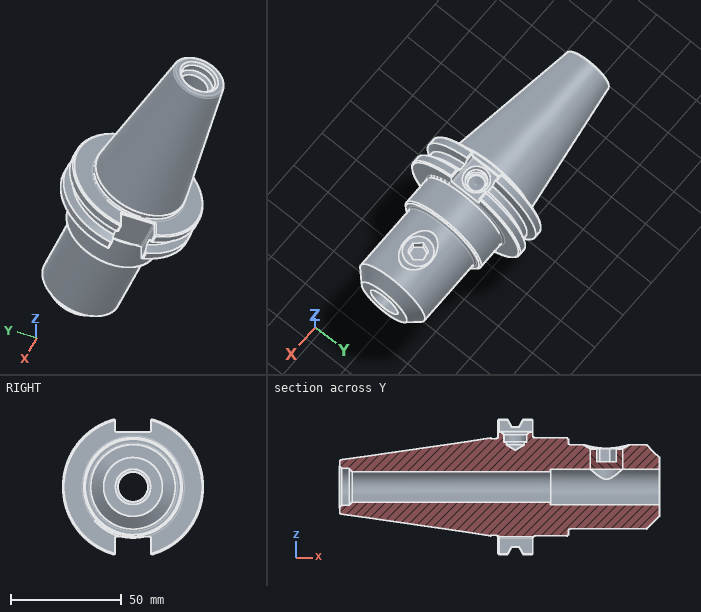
import cadquery as cq
import math

TOTAL_LENGTH = 144.5
GAGE_X = 68.3
FLANGE_START_X = 71.5
FLANGE_END_X = 87.2
SHOULDER_END_X = 103.4

GAGE_RADIUS = 44.5 / 2
TAPER_PER_LENGTH = 7 / 24
TAPER_TIP_RADIUS = GAGE_RADIUS - GAGE_X * TAPER_PER_LENGTH / 2
TIP_ROUND = 1.0
NECK_RADIUS = 43.9 / 2
NECK_STEP = 0.3
NECK_FILLET = 0.7

FLANGE_RADIUS = 63.5 / 2
FLANGE_CHAMFER = 0.6
GROOVE_X = (FLANGE_START_X + FLANGE_END_X) / 2
GROOVE_FLOOR_RADIUS = 28.3
GROOVE_FLOOR_WIDTH = 3.3
GROOVE_FLANK_ANGLE = 30.0

SHOULDER_RADIUS = 44.5 / 2
SHOULDER_CHAMFER = 0.7
SHOULDER_FILLET = 0.9
NOSE_RADIUS = 38.1 / 2
NOSE_FILLET = 0.9
NOSE_CHAMFER = 5.8

SLOT_WIDTH = 16.2
SLOT_TOP_FLOOR = 24.8
SLOT_BOTTOM_FLOOR = 22.5
SLOT_FLOOR_FILLET = 0.6

SLOT_HOLE_RIM_DIAMETER = 12.7
SLOT_HOLE_DIAMETER = 10.1
SLOT_HOLE_DEPTH = 4.5
PILOT_DIAMETER = 8.0
PILOT_DEPTH = 5.8
DRILL_POINT_ANGLE = 118.0

DRAWBAR_MOUTH_RADIUS = 18.6 / 2
DRAWBAR_RADIUS = 16.5 / 2
DRAWBAR_DEPTH = 4.3
THROUGH_RADIUS = 13.5 / 2
TOOL_BORE_RADIUS = 15.9 / 2
TOOL_BORE_DEPTH = 49.1

SCREW_X = 120.5
SCREW_DIAMETER = 14.3
SCREW_TOP_Z = 17.2
COUNTERSINK_ANGLE = 120.0
COUNTERSINK_OVERSHOOT = 0.7
HEX_ACROSS_FLATS = 8.0
HEX_DEPTH = 5.8
HEX_ROTATION = 40.0


def revolve_about_x(profile):
    return profile.close().revolve(360, (0, 0, 0), (1, 0, 0))


def z_cone(bottom_radius, bottom_z, height, half_angle):
    """Cone frustum about a Z line through the origin, widening upward."""
    top_radius = bottom_radius + height * math.tan(math.radians(half_angle))
    return cq.Workplane(
        cq.Solid.makeCone(bottom_radius, top_radius, height, cq.Vector(0, 0, bottom_z))
    )


def z_cylinder(diameter, bottom_z, top_z):
    return cq.Workplane("XY").workplane(offset=bottom_z).circle(diameter / 2).extrude(top_z - bottom_z)


def taper_and_neck():
    taper_angle = math.atan(TAPER_PER_LENGTH / 2)
    tangent = TIP_ROUND * math.tan(math.pi / 4 - taper_angle / 2)
    half_turn = math.pi / 4 + taper_angle / 2
    centre_r = TAPER_TIP_RADIUS - tangent
    return revolve_about_x(
        cq.Workplane("XY")
        .lineTo(0, centre_r)
        .threePointArc(
            (TIP_ROUND * (1 - math.sin(half_turn)), centre_r + TIP_ROUND * math.cos(half_turn)),
            (tangent * math.cos(taper_angle), TAPER_TIP_RADIUS + tangent * math.sin(taper_angle)),
        )
        .lineTo(GAGE_X, GAGE_RADIUS)
        .lineTo(GAGE_X + NECK_STEP, NECK_RADIUS)
        .lineTo(FLANGE_START_X - NECK_FILLET, NECK_RADIUS)
        .radiusArc((FLANGE_START_X, NECK_RADIUS + NECK_FILLET), -NECK_FILLET)
        .lineTo(FLANGE_START_X, 0)
    )


def slot_cutter(floor):
    height = FLANGE_RADIUS - floor + 1.5
    length = FLANGE_END_X - FLANGE_START_X
    return (
        cq.Workplane("XY")
        .box(length, SLOT_WIDTH, height, centered=(True, True, False))
        .edges("|X and <Z")
        .fillet(SLOT_FLOOR_FILLET)
        .translate((GROOVE_X, 0, floor))
    )


def is_on_rim(edge):
    start = edge.startPoint()
    return math.isclose(math.hypot(start.y, start.z), FLANGE_RADIUS, abs_tol=0.01)


def flange():
    groove_half = GROOVE_FLOOR_WIDTH / 2
    flank = (FLANGE_RADIUS - GROOVE_FLOOR_RADIUS) * math.tan(math.radians(GROOVE_FLANK_ANGLE))
    disc = revolve_about_x(
        cq.Workplane("XY")
        .moveTo(FLANGE_START_X, 0)
        .lineTo(FLANGE_START_X, FLANGE_RADIUS)
        .lineTo(GROOVE_X - groove_half - flank, FLANGE_RADIUS)
        .lineTo(GROOVE_X - groove_half, GROOVE_FLOOR_RADIUS)
        .lineTo(GROOVE_X + groove_half, GROOVE_FLOOR_RADIUS)
        .lineTo(GROOVE_X + groove_half + flank, FLANGE_RADIUS)
        .lineTo(FLANGE_END_X, FLANGE_RADIUS)
        .lineTo(FLANGE_END_X, 0)
    )
    top_slot = slot_cutter(SLOT_TOP_FLOOR)
    bottom_slot = slot_cutter(SLOT_BOTTOM_FLOOR).rotate((0, 0, 0), (1, 0, 0), 180)
    slotted = disc.cut(top_slot).cut(bottom_slot)
    front_edges = slotted.faces("<X").edges("|Z").vals()
    land_edges = slotted.edges("|X").filter(is_on_rim).vals()
    rim_edges = slotted.faces("<X or >X").edges("%CIRCLE").filter(is_on_rim).vals()
    return slotted.newObject(front_edges + land_edges + rim_edges).chamfer(FLANGE_CHAMFER)


def shoulder_and_nose():
    return revolve_about_x(
        cq.Workplane("XY")
        .moveTo(FLANGE_END_X, 0)
        .lineTo(FLANGE_END_X, SHOULDER_RADIUS + SHOULDER_FILLET)
        .radiusArc((FLANGE_END_X + SHOULDER_FILLET, SHOULDER_RADIUS), -SHOULDER_FILLET)
        .lineTo(SHOULDER_END_X - SHOULDER_CHAMFER, SHOULDER_RADIUS)
        .lineTo(SHOULDER_END_X, SHOULDER_RADIUS - SHOULDER_CHAMFER)
        .lineTo(SHOULDER_END_X, NOSE_RADIUS + NOSE_FILLET)
        .radiusArc((SHOULDER_END_X + NOSE_FILLET, NOSE_RADIUS), -NOSE_FILLET)
        .lineTo(TOTAL_LENGTH - NOSE_CHAMFER, NOSE_RADIUS)
        .lineTo(TOTAL_LENGTH, NOSE_RADIUS - NOSE_CHAMFER)
        .lineTo(TOTAL_LENGTH, 0)
    )


def axial_bores():
    """Drawbar bore, through hole and tool bore as one stepped cutter with 45-degree cones."""
    mouth_depth = DRAWBAR_MOUTH_RADIUS - DRAWBAR_RADIUS
    return revolve_about_x(
        cq.Workplane("XY")
        .lineTo(0, DRAWBAR_MOUTH_RADIUS)
        .lineTo(mouth_depth, DRAWBAR_RADIUS)
        .lineTo(DRAWBAR_DEPTH, DRAWBAR_RADIUS)
        .lineTo(DRAWBAR_DEPTH + DRAWBAR_RADIUS - THROUGH_RADIUS, THROUGH_RADIUS)
        .lineTo(TOTAL_LENGTH - TOOL_BORE_DEPTH, THROUGH_RADIUS)
        .lineTo(TOTAL_LENGTH - TOOL_BORE_DEPTH, TOOL_BORE_RADIUS)
        .lineTo(TOTAL_LENGTH, TOOL_BORE_RADIUS)
        .lineTo(TOTAL_LENGTH, 0)
    )


def slot_hole():
    """Countersunk, stepped hole with a drill point, opening into the +Z slot floor."""
    rim_depth = (SLOT_HOLE_RIM_DIAMETER - SLOT_HOLE_DIAMETER) / 2
    pilot_bottom = SLOT_TOP_FLOOR - PILOT_DEPTH
    half_point = DRILL_POINT_ANGLE / 2
    point_height = PILOT_DIAMETER / 2 / math.tan(math.radians(half_point))
    cutter = (
        z_cone(SLOT_HOLE_DIAMETER / 2, SLOT_TOP_FLOOR - rim_depth, rim_depth, 45)
        .union(z_cylinder(SLOT_HOLE_DIAMETER, SLOT_TOP_FLOOR - SLOT_HOLE_DEPTH, SLOT_TOP_FLOOR - rim_depth))
        .union(z_cylinder(PILOT_DIAMETER, pilot_bottom, SLOT_TOP_FLOOR - SLOT_HOLE_DEPTH))
        .union(z_cone(0, pilot_bottom - point_height, point_height, half_point))
    )
    return cutter.translate((GROOVE_X, 0, 0))


def screw_hole():
    cone_height = NOSE_RADIUS - SCREW_TOP_Z + COUNTERSINK_OVERSHOOT
    cone = z_cone(SCREW_DIAMETER / 2, SCREW_TOP_Z, cone_height, COUNTERSINK_ANGLE / 2)
    return cone.union(z_cylinder(SCREW_DIAMETER, 0, SCREW_TOP_Z)).translate((SCREW_X, 0, 0))


def make_holder():
    body = taper_and_neck().union(flange()).union(shoulder_and_nose())
    return body.cut(axial_bores()).cut(slot_hole()).cut(screw_hole())


def make_clamp_screw():
    socket = (
        cq.Workplane("XY")
        .workplane(offset=SCREW_TOP_Z - HEX_DEPTH)
        .polygon(6, HEX_ACROSS_FLATS, circumscribed=True)
        .extrude(HEX_DEPTH)
        .rotate((0, 0, 0), (0, 0, 1), HEX_ROTATION)
    )
    screw = z_cylinder(SCREW_DIAMETER, TOOL_BORE_RADIUS, SCREW_TOP_Z).cut(socket)
    return screw.translate((SCREW_X, 0, 0))


holder = make_holder()
clamp_screw = make_clamp_screw()

result = cq.Compound.makeCompound([holder.val(), clamp_screw.val()])